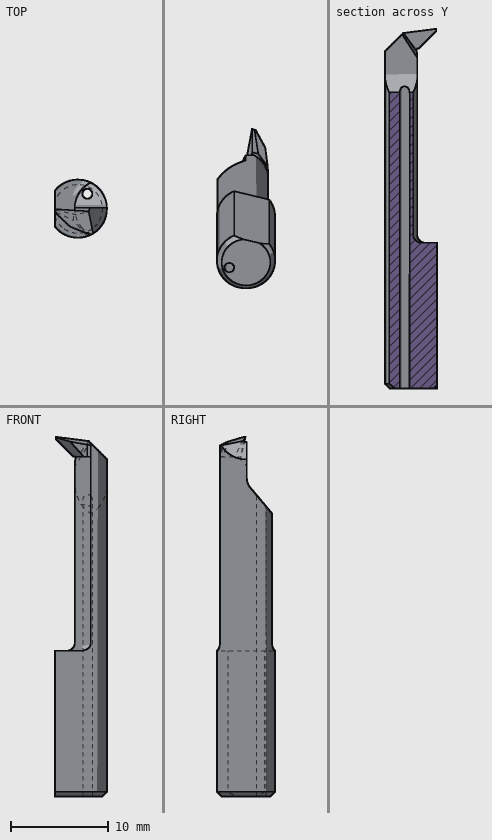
import cadquery as cq
import math


total_length = 37.0
shank_radius = 3.0
shank_length = 15.0
shank_chamfer = 0.5
flat_x = -2.35

neck_radius = 3.0
neck_left_x = -0.33
neck_axis_x = neck_left_x + neck_radius
neck_fillet = 0.8

coolant_diameter = 1.0
coolant_x = 0.98
coolant_y = 1.53

clearance_y = 0.1
runout_end_z = 29.1
runout_angle = math.radians(40)
runout_radius = 1.5

tip_x = -2.28
tip_y = -0.05
top_drop_along_x = 0.117
top_drop_along_y = 0.18
back_relief_top_z = 37.67

tooth_bottom_z = 34.95
tip_front_y = -0.45
tip_edge_height = 0.25
heel_x = -0.8
heel_y = -1.85
heel_end_x = 0.97
heel_end_y = -2.56
flank_foot = (0.62, -2.43, tooth_bottom_z)
nose_foot_x = -0.48
rake_end = (1.15, -0.28)
rake_foot = (-0.4, -0.55, tooth_bottom_z)

groove_low = (neck_left_x, clearance_y, 34.0)
groove_mid = (-0.26, -0.6, 34.7)
groove_high = (1.2, -0.05, 36.5)

facet_x = 0.85
facet_bottom_z = 34.05
facet_half_width = 0.4

large = 60.0


def half_space(point, normal):
    """Large block on the side of the plane that the normal points to."""
    plane = cq.Plane(origin=point, normal=normal)
    return cq.Workplane(plane).rect(2 * large, 2 * large).extrude(large)


def half_space_through(a, b, c, inside_direction):
    """Large block bounded by the plane through three points, on the given side."""
    start = cq.Vector(*a)
    normal = (cq.Vector(*b) - start).cross(cq.Vector(*c) - start)
    if normal.dot(cq.Vector(*inside_direction)) < 0:
        normal = normal * -1
    return half_space(a, normal.toTuple())


def top_height(x, y):
    """Height of the sloping top relief face."""
    return total_length - top_drop_along_x * (x - tip_x) + top_drop_along_y * (y - tip_y)


def neck_front_y(x):
    """Y of the front (-Y) side of the neck cylinder at a given X."""
    return -math.sqrt(neck_radius**2 - (x - neck_axis_x) ** 2)


def make_shank():
    shank = cq.Workplane("XY").circle(shank_radius).extrude(shank_length)
    shank = shank.faces("<Z").chamfer(shank_chamfer)
    return shank.intersect(half_space((flat_x, 0, 0), (1, 0, 0)))


def make_neck():
    """Offset cylinder with a flared foot, trimmed to the shank cylinder."""
    foot_radius = neck_radius + neck_fillet
    arc_depth = neck_fillet * (1 - math.sqrt(0.5))
    column = (
        cq.Workplane("XZ", origin=(neck_axis_x, 0, 0))
        .moveTo(0, shank_length)
        .lineTo(foot_radius, shank_length)
        .threePointArc(
            (neck_radius + arc_depth, shank_length + arc_depth),
            (neck_radius, shank_length + neck_fillet),
        )
        .lineTo(neck_radius, total_length)
        .lineTo(0, total_length)
        .close()
        .revolve(360, (0, 0), (0, 1))
    )
    envelope = cq.Workplane("XY").circle(shank_radius).extrude(total_length)
    return column.intersect(envelope)


def cut_facet(neck):
    """Nearly upright plane that shaves the neck in a shallow U."""
    start = (facet_x, neck_front_y(facet_x), facet_bottom_z)
    outward = ((start[0] - neck_axis_x) / neck_radius, start[1] / neck_radius)
    depth = facet_half_width**2 / (2 * neck_radius * outward[1] ** 2)
    tilt = depth / (tooth_bottom_z - facet_bottom_z)
    shaved = half_space(start, (outward[0], outward[1], tilt))
    level = cq.Workplane("XY").workplane(offset=facet_bottom_z).rect(large, large)
    return neck.cut(shaved.intersect(level.extrude(tooth_bottom_z - facet_bottom_z)))


def make_tooth():
    """Upright prism over the tooth outline, undercut by the flank and the nose."""
    outline = [
        (tip_x, clearance_y),
        (tip_x, tip_front_y),
        (heel_x, heel_y),
        (heel_end_x, heel_end_y),
        (heel_end_x, clearance_y),
    ]
    tooth = (
        cq.Workplane("XY")
        .workplane(offset=tooth_bottom_z)
        .polyline(outline)
        .close()
        .extrude(total_length - tooth_bottom_z)
    )
    tip_front = (tip_x, tip_front_y, top_height(tip_x, tip_front_y))
    heel_top = (heel_x, heel_y, top_height(heel_x, heel_y))
    tip_low_z = total_length - tip_edge_height
    nose_normal = (tip_low_z - tooth_bottom_z, 0, nose_foot_x - tip_x)
    flank = half_space_through(tip_front, heel_top, flank_foot, (1, 1, 1))
    nose = half_space((tip_x, 0, tip_low_z), nose_normal)
    return tooth.intersect(flank).intersect(nose)


def make_chip_clearance():
    """Space on the +Y side, bounded by the upright face, an arc and the sloping run-out."""
    outer_y = shank_radius
    slope_y = -neck_front_y(neck_axis_x / 2)
    corner_z = runout_end_z + (slope_y - clearance_y) / math.tan(runout_angle)
    outer_z = runout_end_z - (outer_y - slope_y) / math.tan(runout_angle)
    setback = runout_radius * math.tan(runout_angle / 2)
    arc_start = (clearance_y, corner_z + setback)
    arc_end = (
        clearance_y + setback * math.sin(runout_angle),
        corner_z - setback * math.cos(runout_angle),
    )
    return (
        cq.Workplane("YZ", origin=(-large / 2, 0, 0))
        .moveTo(clearance_y, total_length)
        .lineTo(*arc_start)
        .radiusArc(arc_end, -runout_radius)
        .lineTo(outer_y, outer_z)
        .lineTo(outer_y, total_length)
        .close()
        .extrude(large)
    )


def make_chip_groove():
    """Wedge between the rake face of the tooth and the groove floor."""
    tip = (tip_x, tip_y, total_length)
    rake_top = (*rake_end, top_height(*rake_end))
    beyond_rake = half_space_through(tip, rake_top, rake_foot, (0, 1, 0))
    above_floor = half_space_through(groove_low, groove_mid, groove_high, (-1, 0, 0))
    return beyond_rake.intersect(above_floor)


tip_point = (tip_x, tip_y, total_length)
top_relief = half_space(tip_point, (top_drop_along_x, -top_drop_along_y, 1))
back_relief = half_space((0, 0, back_relief_top_z), (1, 0, 1))
coolant_hole = (
    cq.Workplane("XY")
    .center(coolant_x, coolant_y)
    .circle(coolant_diameter / 2)
    .extrude(total_length)
)

head = cut_facet(make_neck()).union(make_tooth())
head = head.cut(make_chip_clearance()).cut(make_chip_groove())
head = head.cut(top_relief).cut(back_relief)

result = make_shank().union(head).cut(coolant_hole)